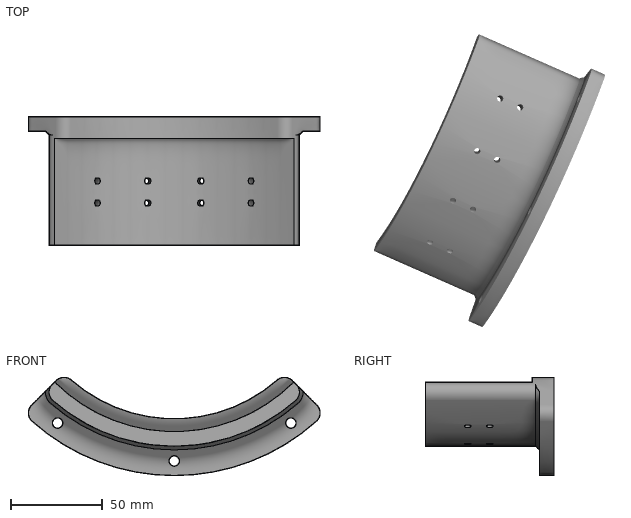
import cadquery as cq
import math

HALF_ANGLE = 45.0
LENGTH = 70.0

FLANGE_OUTER_RADIUS = 116.0
FLANGE_INNER_RADIUS = 85.0
FLANGE_THICKNESS = 8.0
FLANGE_CORNER_RADIUS = 6.0
LIP_THICKNESS = 12.0

SHELL_OUTER_RADIUS = 100.0
SHELL_INNER_RADIUS = 92.0
SHELL_CORNER_RADIUS = 6.0
ROOT_CHAMFER = 2.0
ROOT_CHAMFER_ANGLE = 45.0

MOUNT_HOLE_DIAMETER = 5.5
MOUNT_HOLE_RADIUS = (FLANGE_OUTER_RADIUS + SHELL_OUTER_RADIUS) / 2
MOUNT_HOLE_ANGLES = (-36.0, 0.0, 36.0)
SHELL_HOLE_DIAMETER = 3.4
SHELL_HOLE_PITCH_ANGLE = 18.0
SHELL_HOLE_COLUMNS = 4
SHELL_HOLE_DEPTHS = (35.0, 47.0)
HOLE_OVERSHOOT = 1.0


def polar(radius, angle):
    """Return the (x, z) point at a radius and an angle from straight down."""
    radians = math.radians(angle)
    return radius * math.sin(radians), -radius * math.cos(radians)


def sector(inner_radius, outer_radius, start, end):
    """Ring sector about the Y axis between two distances from the back face."""
    return (
        cq.Workplane("XZ", origin=(0, -start, 0))
        .moveTo(*polar(inner_radius, -HALF_ANGLE))
        .threePointArc(polar(inner_radius, 0), polar(inner_radius, HALF_ANGLE))
        .lineTo(*polar(outer_radius, HALF_ANGLE))
        .threePointArc(polar(outer_radius, 0), polar(outer_radius, -HALF_ANGLE))
        .close()
        .extrude(end - start)
    )


def make_flange():
    plate = sector(FLANGE_INNER_RADIUS, FLANGE_OUTER_RADIUS, 0, FLANGE_THICKNESS)
    return plate.edges("|Y").fillet(FLANGE_CORNER_RADIUS)


def make_lip():
    lip = sector(FLANGE_INNER_RADIUS, SHELL_INNER_RADIUS, 0, LIP_THICKNESS)
    return lip.edges("|Y and >Z").fillet(FLANGE_CORNER_RADIUS)


def make_shell():
    shell = sector(SHELL_INNER_RADIUS, SHELL_OUTER_RADIUS, FLANGE_THICKNESS, LENGTH)
    return shell.edges("|Y").edges("<X or >X").fillet(SHELL_CORNER_RADIUS)


def make_root_bevel(shell):
    """Bevel that widens from the shell section to the flange, cut flush with the part's ends."""
    bevel_start = FLANGE_THICKNESS + ROOT_CHAMFER
    shell_section = shell.faces("<Y").wires().val()
    bevel = (
        cq.Workplane("XZ", origin=(0, -bevel_start, 0))
        .add(shell_section.translate(cq.Vector(0, LENGTH - bevel_start, 0)))
        .toPending()
        .extrude(-ROOT_CHAMFER, taper=-ROOT_CHAMFER_ANGLE)
    )
    end_limits = sector(SHELL_INNER_RADIUS, FLANGE_OUTER_RADIUS, FLANGE_THICKNESS, bevel_start)
    return bevel.intersect(end_limits)


def mount_holes():
    centers = [polar(MOUNT_HOLE_RADIUS, angle) for angle in MOUNT_HOLE_ANGLES]
    return (
        cq.Workplane("XZ")
        .pushPoints(centers)
        .circle(MOUNT_HOLE_DIAMETER / 2)
        .extrude(FLANGE_THICKNESS)
    )


def shell_holes():
    """Radial hole cutters, evenly spaced in angle and placed in rows along Y."""
    cutters = cq.Workplane("XY")
    cutter_length = SHELL_OUTER_RADIUS - SHELL_INNER_RADIUS + 2 * HOLE_OVERSHOOT
    for column in range(SHELL_HOLE_COLUMNS):
        angle = (column - (SHELL_HOLE_COLUMNS - 1) / 2) * SHELL_HOLE_PITCH_ANGLE
        x, z = polar(SHELL_INNER_RADIUS - HOLE_OVERSHOOT, angle)
        direction_x, direction_z = polar(1, angle)
        for depth in SHELL_HOLE_DEPTHS:
            cutter = cq.Solid.makeCylinder(
                SHELL_HOLE_DIAMETER / 2,
                cutter_length,
                cq.Vector(x, -depth, z),
                cq.Vector(direction_x, 0, direction_z),
            )
            cutters = cutters.add(cutter)
    return cutters.combine()


shell = make_shell()
result = make_flange().union(make_lip()).union(shell).union(make_root_bevel(shell))
result = result.cut(mount_holes()).cut(shell_holes())